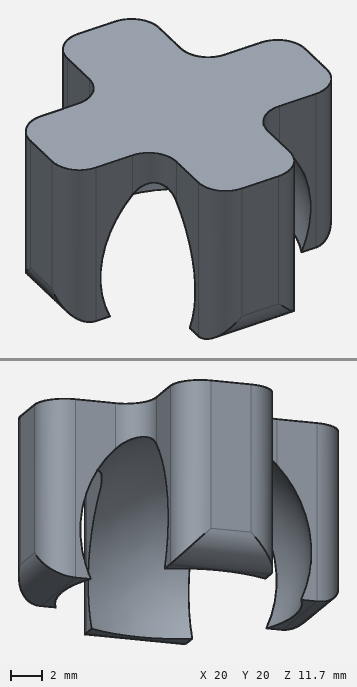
import cadquery as cq

span = 20.0
height = 11.65
arm_width = span / 3
corner_radius = 2.0

hollow_radius = 8.35
hollow_center_height = 3.15


def cross_body():
    """Upright cross with rounded arm corners and rounded inner corners."""
    arm_along_x = cq.Workplane("XY").rect(span, arm_width).extrude(height)
    arm_along_y = cq.Workplane("XY").rect(arm_width, span).extrude(height)
    return arm_along_x.union(arm_along_y).edges("|Z").fillet(corner_radius)


def rounded_bottom_envelope():
    """Block whose four bottom edges are rounded, to round the arm ends."""
    block = cq.Workplane("XY").rect(span, span).extrude(height)
    return block.faces("<Z").edges().fillet(corner_radius)


def spherical_hollow():
    """Ball removed from the inside of the cross."""
    return cq.Workplane("XY").sphere(hollow_radius).translate((0, 0, hollow_center_height))


result = cross_body().intersect(rounded_bottom_envelope()).cut(spherical_hollow())